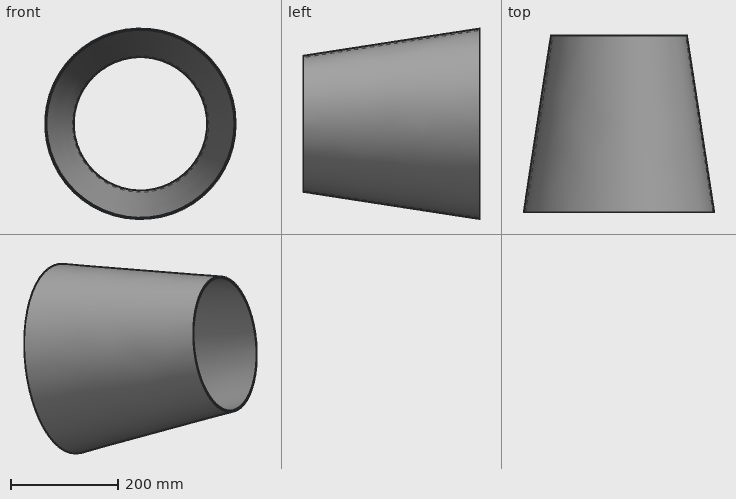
import cadquery as cq

large_diameter = 356.0
small_diameter = 254.2
length = 330.0
wall = 3.0

large_radius = large_diameter / 2
small_radius = small_diameter / 2

wall_section = [
    (large_radius - wall, -length / 2),
    (large_radius, -length / 2),
    (small_radius, length / 2),
    (small_radius - wall, length / 2),
]

result = cq.Workplane("XY").polyline(wall_section).close().revolve(360, (0, 0, 0), (0, 1, 0))